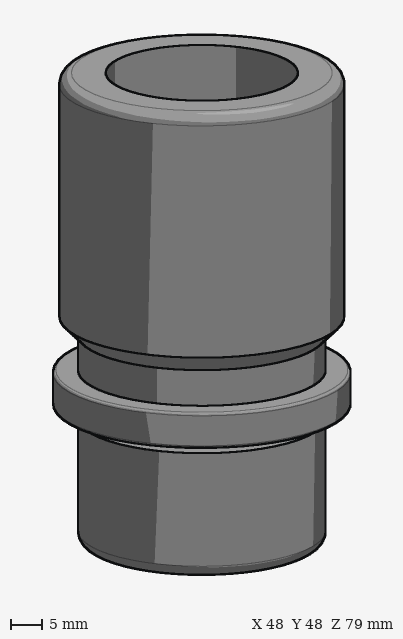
import cadquery as cq

body_diameter = 46.0
shank_diameter = 40.0
flange_diameter = 48.0
bore_diameter = 31.0
groove_depth = 0.55

total_height = 79.0
body_bottom = 38.0
flange_top = 29.0
flange_bottom = 23.0
groove_bottom = 21.8
shank_top = 21.0

end_fillet = 2.0
flange_fillet = 0.5

body_radius = body_diameter / 2
shank_radius = shank_diameter / 2
flange_radius = flange_diameter / 2
bore_radius = bore_diameter / 2
groove_radius = shank_radius - groove_depth

neck_top = body_bottom - (body_radius - shank_radius)


def make_sleeve():
    """Revolve the sharp-edged half section, as (radius, height), about Z."""
    half_section = [
        (bore_radius, 0),
        (shank_radius, 0),
        (shank_radius, shank_top),
        (groove_radius, groove_bottom),
        (groove_radius, flange_bottom),
        (flange_radius, flange_bottom),
        (flange_radius, flange_top),
        (shank_radius, flange_top),
        (shank_radius, neck_top),
        (body_radius, body_bottom),
        (body_radius, total_height),
        (bore_radius, total_height),
    ]
    return cq.Workplane("XZ").polyline(half_section).close().revolve(360, (0, 0), (0, 1))


outermost_edges = cq.selectors.RadiusNthSelector(-1)

sleeve = make_sleeve()
sleeve = sleeve.faces(">Z").edges(outermost_edges).fillet(end_fillet)
sleeve = sleeve.faces("<Z").edges(outermost_edges).fillet(end_fillet)
result = sleeve.edges(outermost_edges).fillet(flange_fillet)